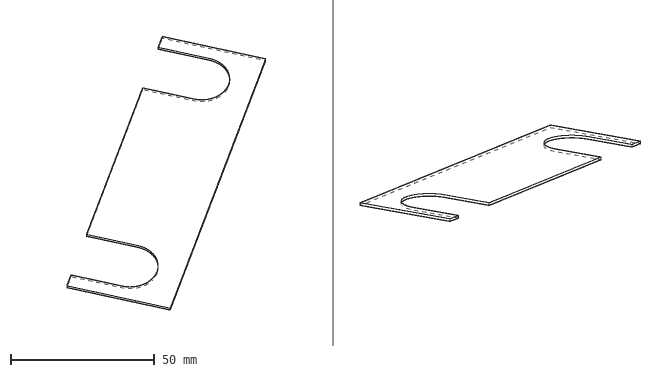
import cadquery as cq

length = 120.0
width = 37.5
thickness = 1.0

slot_spacing = 90.0
slot_width = 19.5
slot_depth = 28.3

slot_radius = slot_width / 2
arc_center_x = slot_depth - slot_radius


def slot_cutter(center_y):
    """U-shaped cutter running from the -X edge to a full round end."""
    return (
        cq.Workplane("XY")
        .moveTo(0, center_y - slot_radius)
        .lineTo(arc_center_x, center_y - slot_radius)
        .threePointArc((slot_depth, center_y), (arc_center_x, center_y + slot_radius))
        .lineTo(0, center_y + slot_radius)
        .close()
        .extrude(thickness)
    )


result = cq.Workplane("XY").box(width, length, thickness, centered=(False, True, False))
for side in (-1, 1):
    result = result.cut(slot_cutter(side * slot_spacing / 2))